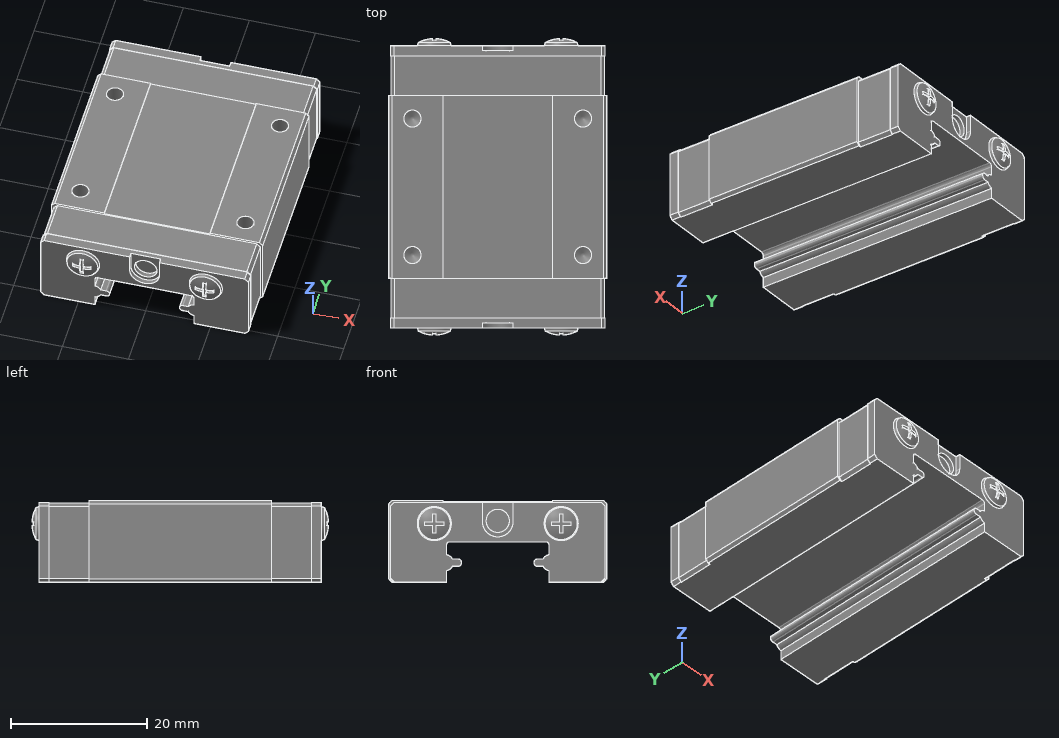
import cadquery as cq
import math

body_width = 32.0
body_height = 12.0
body_length = 26.8
body_chamfer = 0.5

cap_width = 31.3
cap_height = 11.65
cap_length = 5.8
cap_chamfer = 0.55

plate_width = 31.5
plate_height = 11.7
plate_thickness = 1.5
plate_chamfer = 0.55

relief_width = 16.0
relief_depth = 0.15

channel_half_width = 7.5
channel_height = 5.9
channel_fillet = 0.45

retainer_height = 2.87
retainer_radius = 1.2
retainer_center_x = 7.7
lip_tip_x = 5.3
lip_thickness = 1.1
lip_fillet = 0.5

mount_spacing_x = 25.0
mount_spacing_y = 20.0
mount_diameter = 2.5
mount_depth = 3.5
drill_point_angle = 118.0

port_radius = 2.25
port_height = 8.9
port_depth = 0.75
seat_diameter = 3.4
seat_height = 9.0
seat_depth = 0.75

screw_x = 9.3
screw_height = 8.6
screw_radius = 2.5
screw_top_radius = 2.35
screw_head_height = 1.055
screw_rim_height = 0.45
cross_length = 2.8
cross_width = 0.5
cross_depth = 0.5

end_face_y = body_length / 2 + cap_length + plate_thickness


def chamfered_block(width, height, length, chamfer):
    """Block centred on X and Y, standing on Z = 0, chamfered along its four long edges."""
    block = cq.Workplane("XY").box(width, length, height, centered=(True, True, False))
    return block.edges("|Y").chamfer(chamfer)


def make_carriage():
    """Body with an end cap and an end plate at each end; the caps are one bar through the body."""
    body = chamfered_block(body_width, body_height, body_length, body_chamfer)
    relief = cq.Workplane("XY").box(relief_width, body_length, 2 * relief_depth)
    body = body.cut(relief.translate((0, 0, body_height)))
    cap_span = body_length + 2 * cap_length
    carriage = body.union(chamfered_block(cap_width, cap_height, cap_span, cap_chamfer))
    plate = chamfered_block(plate_width, plate_height, plate_thickness, plate_chamfer)
    for side in (-1, 1):
        carriage = carriage.union(plate.translate((0, side * (end_face_y - plate_thickness / 2), 0)))
    return carriage


def make_channel():
    """Rail channel with a rounded, lipped retainer ridge left standing on each wall."""
    length = 2 * end_face_y
    channel = cq.Workplane("XY").box(2 * channel_half_width, length, 2 * channel_height)
    channel = channel.edges("|Y and >Z").fillet(channel_fillet)
    lip_length = retainer_center_x - lip_tip_x
    for side in (-1, 1):
        ridge = cq.Workplane("XZ").circle(retainer_radius).extrude(length / 2, both=True)
        ridge = ridge.translate((side * retainer_center_x, 0, retainer_height))
        lip = cq.Workplane("XY").box(lip_length, length, lip_thickness)
        lip = lip.edges("|Y").fillet(lip_fillet)
        lip = lip.translate((side * (lip_tip_x + lip_length / 2), 0, retainer_height))
        channel = channel.cut(ridge).cut(lip)
    return channel


def make_mount_hole():
    """Blind drilled hole with a conical bottom, its mouth at the origin."""
    radius = mount_diameter / 2
    point_depth = radius / math.tan(math.radians(drill_point_angle / 2))
    return (
        cq.Workplane("XZ")
        .polyline([(0, 0), (radius, 0), (radius, -mount_depth), (0, -mount_depth - point_depth)])
        .close()
        .revolve(360, (0, 0, 0), (0, 1, 0))
    )


def make_port():
    """Open-topped slot with a deeper round seat, cut into the front end face."""
    slot_height = plate_height - port_height
    slot = cq.Workplane("XZ").circle(port_radius).extrude(-port_depth)
    opening = cq.Workplane("XZ").center(0, slot_height / 2).rect(2 * port_radius, slot_height)
    slot = slot.union(opening.extrude(-port_depth))
    seat = cq.Workplane("XZ").circle(seat_diameter / 2).extrude(-port_depth - seat_depth)
    port = slot.union(seat.translate((0, 0, seat_height - port_height)))
    return port.translate((0, -end_face_y, port_height))


def make_screw_head():
    """Domed cross-recess screw head rising along +Z from the origin."""
    dome_rise = screw_head_height - screw_rim_height
    dome_radius = (screw_top_radius**2 + dome_rise**2) / (2 * dome_rise)
    mid_x = screw_top_radius / 2
    mid_z = screw_head_height - dome_radius + math.sqrt(dome_radius**2 - mid_x**2)
    head = (
        cq.Workplane("XZ")
        .lineTo(screw_radius, 0)
        .lineTo(screw_top_radius, screw_rim_height)
        .threePointArc((mid_x, mid_z), (0, screw_head_height))
        .close()
        .revolve(360, (0, 0, 0), (0, 1, 0))
    )
    for angle in (0, 90):
        bar = cq.Workplane("XY").box(cross_length, cross_width, 2 * cross_depth)
        head = head.cut(bar.rotate((0, 0, 0), (0, 0, 1), angle).translate((0, 0, screw_head_height)))
    return head


result = make_carriage().cut(make_channel())

mount_hole = make_mount_hole()
for x_side in (-1, 1):
    for y_side in (-1, 1):
        place = (x_side * mount_spacing_x / 2, y_side * mount_spacing_y / 2, body_height)
        result = result.cut(mount_hole.translate(place))

front_port = make_port()
front_screw = make_screw_head().rotate((0, 0, 0), (1, 0, 0), 90)
for turn in (0, 180):
    result = result.cut(front_port.rotate((0, 0, 0), (0, 0, 1), turn))
    for x_side in (-1, 1):
        screw = front_screw.translate((x_side * screw_x, -end_face_y, screw_height))
        result = result.union(screw.rotate((0, 0, 0), (0, 0, 1), turn))